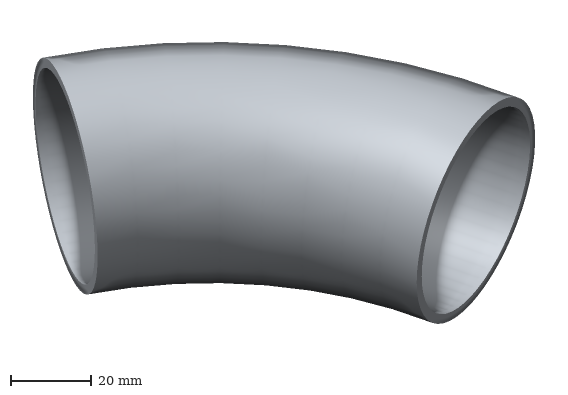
import cadquery as cq
import math

overall_length = 116.8
outer_diameter = 60.3
wall = 2.6
bend_angle = 45.0

outer_radius = outer_diameter / 2
inner_radius = outer_radius - wall

bend_radius = overall_length / math.sin(math.radians(bend_angle)) - outer_radius


def bent_pipe():
    """Ring at the origin, facing -Y, turned about a Z axis on its +X side."""
    ring = cq.Workplane("XZ").circle(outer_radius).circle(inner_radius)
    axis_start = (bend_radius, 0)
    axis_end = (bend_radius, -1)
    return ring.revolve(bend_angle, axis_start, axis_end)


result = bent_pipe()